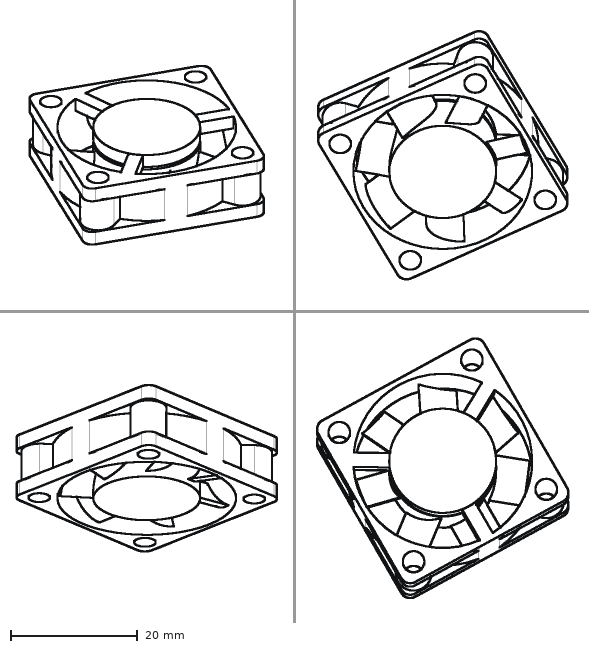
import cadquery as cq
import math

frame_side = 30.0
frame_height = 10.4
frame_corner_radius = 1.6
flange_thickness = 2.35
bore_radius = 14.1
duct_outer_radius = 15.12

hole_pitch = 24.0
hole_radius = 1.7
post_radius = 2.83
corner_count = 4
first_corner_angle = 45.0

hub_radius = 8.45
hub_top = 10.44
hub_thickness = 2.2
strut_count = 3
strut_width = 2.35
strut_thickness = 2.2

rotor_gap = 0.45
rotor_radius = hub_radius
rotor_top = hub_top - hub_thickness - rotor_gap
shaft_radius = 2.0

blade_count = 7
blade_tip = 13.4
blade_embed = 1.0
blade_root = rotor_radius - blade_embed
blade_width = 6.05
blade_underside_sweep = 90.0
blade_top_sweep = 30.0
blade_top = 7.0

first_angle = 90.0

diagonal = math.sqrt(0.5)


def turned(shape, angle):
    return shape.rotate((0, 0, 0), (0, 0, 1), angle)


def cylinder(radius, bottom, top):
    return cq.Workplane("XY").workplane(offset=bottom).circle(radius).extrude(top - bottom)


def square_block(bottom, top):
    block = cq.Workplane("XY").workplane(offset=bottom).rect(frame_side, frame_side).extrude(top - bottom)
    return block.edges("|Z").fillet(frame_corner_radius)


def corner_post(corner_angle):
    """Round post at the screw hole, joined to the duct by a web as wide as the post."""
    post_distance = hole_pitch * diagonal
    web_length = post_distance - bore_radius
    web = (
        cq.Workplane("XY")
        .center(post_distance - web_length / 2, 0)
        .rect(web_length, 2 * post_radius)
        .extrude(frame_height)
    )
    round_post = cylinder(post_radius, 0, frame_height).translate((post_distance, 0, 0))
    return turned(web.union(round_post), corner_angle)


def make_frame():
    """Two square flanges joined by a round duct and four corner posts."""
    duct = cylinder(duct_outer_radius, 0, frame_height).intersect(square_block(0, frame_height))
    frame = duct.union(square_block(0, flange_thickness))
    frame = frame.union(square_block(frame_height - flange_thickness, frame_height))
    for corner in range(corner_count):
        frame = frame.union(corner_post(first_corner_angle + corner * 360 / corner_count))
    holes = cq.Workplane("XY").rect(hole_pitch, hole_pitch, forConstruction=True).vertices()
    holes = holes.circle(hole_radius).extrude(frame_height)
    return frame.cut(holes).cut(cylinder(bore_radius, 0, frame_height))


def make_strut(angle):
    """Bar from inside the hub to inside the duct wall, flush with the top of the frame."""
    inner_end = hub_radius / 2
    outer_end = (bore_radius + duct_outer_radius) / 2
    strut = (
        cq.Workplane("XY")
        .workplane(offset=frame_height - strut_thickness)
        .center((inner_end + outer_end) / 2, 0)
        .rect(outer_end - inner_end, strut_width)
        .extrude(strut_thickness)
    )
    return turned(strut, angle)


def make_blade(angle):
    """Blade with a quarter-round underside and a flatter hollow top, meeting in two sharp edges.

    The chord between the edges slopes at 45 degrees, so both arcs bulge along the other diagonal.
    """
    half_width = blade_width / 2
    blade_bottom = blade_top - blade_width
    half_chord = half_width / diagonal

    def arc_middle(sweep_degrees):
        sag = half_chord * math.tan(math.radians(sweep_degrees / 4))
        return (sag * diagonal, blade_bottom + half_width - sag * diagonal)

    blade = (
        cq.Workplane("YZ")
        .workplane(offset=blade_root)
        .moveTo(half_width, blade_top)
        .threePointArc(arc_middle(blade_underside_sweep), (-half_width, blade_bottom))
        .threePointArc(arc_middle(blade_top_sweep), (half_width, blade_top))
        .close()
        .extrude(blade_tip - blade_root)
    )
    return turned(blade, angle)


def make_rotor():
    """Round rotor body with its ring of blades."""
    rotor = cylinder(rotor_radius, 0, rotor_top)
    for index in range(blade_count):
        rotor = rotor.union(make_blade(first_angle + index * 360 / blade_count))
    return rotor


def make_hub():
    """Hub disc with its struts, and the shaft that bridges the gap to the rotor."""
    hub = cylinder(hub_radius, hub_top - hub_thickness, hub_top)
    for index in range(strut_count):
        hub = hub.union(make_strut(first_angle + index * 360 / strut_count))
    return hub.union(cylinder(shaft_radius, rotor_top / 2, hub_top - hub_thickness / 2))


result = make_frame().union(make_hub()).union(make_rotor())